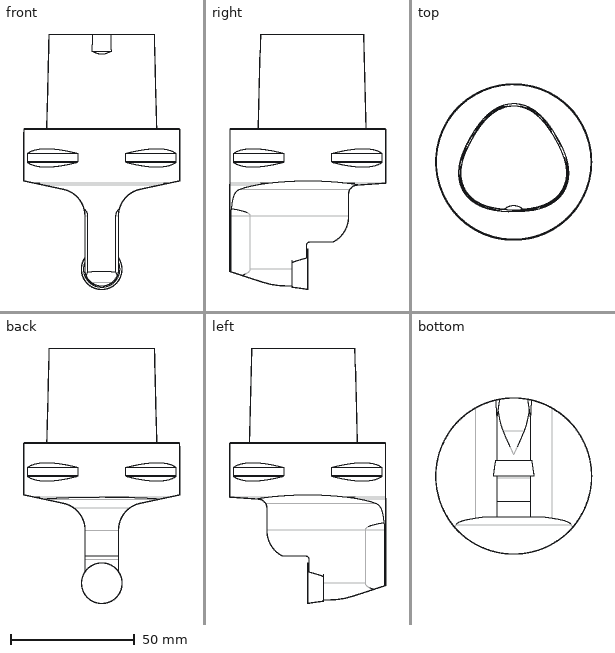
import cadquery as cq
import math


shank_height = 38.0
shank_base_radius = 21.8
shank_taper = 1 / 40
lobe_size = 1.1

notch_radius = 5.5
notch_axis_y = -23.1
notch_wall_depth = 6.8
drill_half_angle = 57

flange_radius = 31.5
flange_height = 22.0
rim_chamfer = 0.3
groove_root_distance = 28.0
groove_top_z = -10.1
groove_bottom_z = -13.3
groove_flank_rise = 2.0
groove_relief_depth = 0.2
groove_relief_height = 0.4
groove_angles = (45, 135, 225, 315)

total_length = 103
tip_z = shank_height - total_length

insert_axis_z = -56.8
insert_radius = insert_axis_z - tip_z
insert_back_radius = 7.3
insert_length = 6.4

blade_radius = 31.6
blade_step_height = 0.6
blade_half_width = 6.8
flare_slope = 12
flare_radius = 10.9
flare_end_z = -35.2
blade_bottom_z = insert_axis_z - blade_half_width

blade_front_y = 16.5
underside_slope = 4
front_fillet = 3.5
nose_start_z = -35.5
nose_radius = 11.5
shelf_z = -45.8
shelf_back_y = -0.5
shelf_fillet = 1.2
heel_z = -57.7
heel_start_y = -13.6
heel_blend = 30.9

narrowing_start_y = -23.3
narrowing_angle = 8.3
narrowing_fillet = 3.5

margin = 10.3
half_span = flange_radius + margin


def shank_section(mean_radius):
    """Closed lobed outline, with one lobe pointing to +Y."""
    def point(fraction):
        angle = 2 * math.pi * fraction
        along = (mean_radius * math.cos(angle) + lobe_size * math.cos(2 * angle)
                 + lobe_size / 2 * math.cos(4 * angle))
        across = (mean_radius * math.sin(angle) - lobe_size * math.sin(2 * angle)
                  + lobe_size / 2 * math.sin(4 * angle))
        return (-across, along)

    return cq.Workplane("XY").parametricCurve(point, N=72).val()


def make_shank():
    top_radius = shank_base_radius - shank_taper * shank_height
    base = shank_section(shank_base_radius)
    top = shank_section(top_radius).moved(cq.Location(cq.Vector(0, 0, shank_height)))
    return cq.Workplane(cq.Solid.makeLoft([base, top], True))


def make_notch():
    wall_end_z = shank_height - notch_wall_depth
    point_z = wall_end_z - notch_radius / math.tan(math.radians(drill_half_angle))
    drill = (
        cq.Workplane("XZ")
        .moveTo(0, point_z)
        .lineTo(notch_radius, wall_end_z)
        .lineTo(notch_radius, shank_height + margin)
        .lineTo(0, shank_height + margin)
        .close()
        .revolve(360, (0, 0), (0, 1))
    )
    return drill.translate((0, notch_axis_y, 0))


def make_round_stock():
    """Turned envelope of the flange and the blade."""
    return (
        cq.Workplane("XZ")
        .moveTo(0, 0)
        .lineTo(flange_radius - rim_chamfer, 0)
        .lineTo(flange_radius, -rim_chamfer)
        .lineTo(flange_radius, -flange_height)
        .lineTo(blade_radius, -flange_height - blade_step_height)
        .lineTo(blade_radius, tip_z)
        .lineTo(0, tip_z)
        .close()
        .revolve(360, (0, 0), (0, 1))
    )


def make_front_outline():
    """Flange underside flaring into the blade, with a half-round bottom."""
    slope = math.radians(flare_slope)
    middle = math.radians((flare_slope + 90) / 2)
    center_x = blade_half_width + flare_radius
    start_x = center_x - flare_radius * math.sin(slope)
    start_z = flare_end_z + flare_radius * math.cos(slope)
    middle_x = center_x - flare_radius * math.sin(middle)
    middle_z = flare_end_z + flare_radius * math.cos(middle)
    edge_z = start_z + (half_span - start_x) * math.tan(slope)
    return (
        cq.Workplane("XZ")
        .moveTo(-half_span, margin)
        .lineTo(half_span, margin)
        .lineTo(half_span, edge_z)
        .lineTo(start_x, start_z)
        .threePointArc((middle_x, middle_z), (blade_half_width, flare_end_z))
        .lineTo(blade_half_width, insert_axis_z)
        .threePointArc((0, blade_bottom_z), (-blade_half_width, insert_axis_z))
        .lineTo(-blade_half_width, flare_end_z)
        .threePointArc((-middle_x, middle_z), (-start_x, start_z))
        .lineTo(-half_span, edge_z)
        .close()
        .extrude(half_span, both=True)
    )


def make_side_outline():
    """Blade outline across Y: nose, insert shelf and sloping heel."""
    slope = math.tan(math.radians(underside_slope))
    front_z = -flange_height - slope * (flange_radius - blade_front_y)
    edge_z = -flange_height + slope * (half_span - flange_radius)
    nose_drop = nose_start_z - shelf_z
    nose_center_y = blade_front_y - nose_radius
    nose_end_y = nose_center_y + math.sqrt(nose_radius**2 - nose_drop**2)
    nose_angle = math.asin(nose_drop / nose_radius) / 2
    nose_middle = (nose_center_y + nose_radius * math.cos(nose_angle),
                   nose_start_z - nose_radius * math.sin(nose_angle))
    heel_slope = (heel_z - blade_bottom_z) / (blade_radius + heel_start_y)
    heel_edge_z = heel_z + heel_slope * (half_span - blade_radius)
    outline = (
        cq.Workplane("YZ")
        .moveTo(-half_span, margin)
        .lineTo(half_span, margin)
        .lineTo(half_span, edge_z)
        .lineTo(blade_front_y, front_z)
        .lineTo(blade_front_y, nose_start_z)
        .threePointArc(nose_middle, (nose_end_y, shelf_z))
        .lineTo(shelf_back_y, shelf_z)
        .lineTo(shelf_back_y, blade_bottom_z)
        .lineTo(heel_start_y, blade_bottom_z)
        .lineTo(-half_span, heel_edge_z)
        .close()
        .extrude(half_span, both=True)
    )
    rounded_corners = (
        (blade_front_y, front_z, front_fillet),
        (shelf_back_y, shelf_z, shelf_fillet),
        (heel_start_y, blade_bottom_z, heel_blend),
    )
    for y, z, radius in rounded_corners:
        corner = cq.selectors.NearestToPointSelector((0, y, z))
        outline = outline.edges("|X").edges(corner).fillet(radius)
    return outline


def make_narrowing_cut():
    """Cutter that narrows the +X blade side towards its outer edge."""
    arc_offset = narrowing_fillet * (1 - math.sqrt(0.5))
    arc_rise = narrowing_fillet * math.sqrt(0.5)
    cutter = (
        cq.Workplane("XZ")
        .moveTo(0, flare_end_z)
        .threePointArc((arc_offset, flare_end_z + arc_rise),
                       (narrowing_fillet, flare_end_z + narrowing_fillet))
        .lineTo(narrowing_fillet, tip_z)
        .lineTo(0, tip_z)
        .close()
        .extrude(half_span)
    )
    return (
        cutter.rotate((0, 0, 0), (0, 0, 1), -narrowing_angle)
        .translate((blade_half_width, narrowing_start_y, 0))
    )


def make_gripper_groove(angle):
    """Trapezoidal groove with a flat root, cut straight across the rim."""
    flank_slope = groove_flank_rise / (flange_radius - groove_root_distance)
    outer = groove_root_distance + margin
    relief_x = groove_root_distance + groove_relief_depth
    relief_z = groove_bottom_z - groove_relief_height
    groove = (
        cq.Workplane("XZ")
        .moveTo(groove_root_distance, groove_top_z)
        .lineTo(outer, groove_top_z + flank_slope * margin)
        .lineTo(outer, relief_z - flank_slope * (outer - relief_x))
        .lineTo(relief_x, relief_z)
        .lineTo(groove_root_distance, groove_bottom_z)
        .close()
        .extrude(half_span, both=True)
    )
    return groove.rotate((0, 0, 0), (0, 0, 1), angle)


def make_insert():
    """Round cutting insert: a cone frustum whose large face points to +Y."""
    return (
        cq.Workplane("XY")
        .moveTo(0, 0)
        .lineTo(insert_radius, 0)
        .lineTo(insert_back_radius, -insert_length)
        .lineTo(0, -insert_length)
        .close()
        .revolve(360, (0, 0), (0, 1))
        .translate((0, 0, insert_axis_z))
    )


def make_holder(insert):
    holder = make_round_stock().intersect(make_front_outline()).intersect(make_side_outline())
    narrowing = make_narrowing_cut()
    holder = holder.cut(narrowing).cut(narrowing.mirror("YZ"))
    for angle in groove_angles:
        holder = holder.cut(make_gripper_groove(angle))
    holder = holder.union(make_shank()).cut(make_notch())
    return holder.cut(insert).solids()


insert = make_insert()
holder = make_holder(insert)

result = cq.Compound.makeCompound([holder.val(), insert.val()])